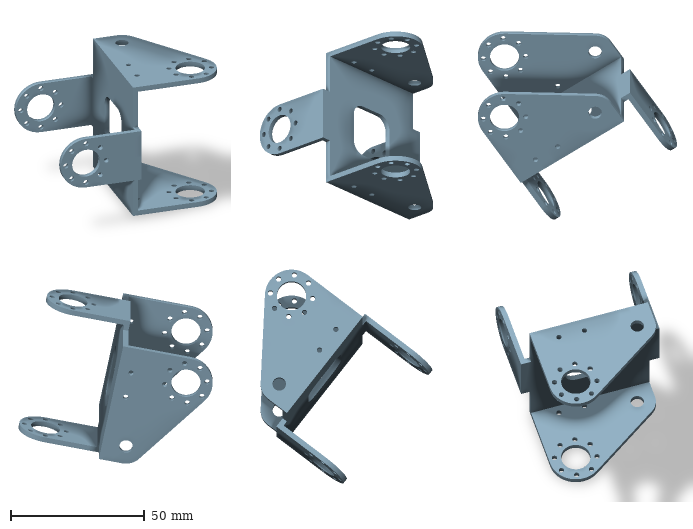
import cadquery as cq
import math

overall_width = 54.45
overall_depth = 66.0
height = 53.0
sheet = 2.0
web_width = 46.55
web_front = 30.0
web_back = web_front + sheet

window_size = 20.0
window_radius = 5.0

boss_radius = 10.0
bore_diameter = 11.0
screw_diameter = 2.0
screw_circle_radius = 8.0
screw_count = 8
flange_pattern_angle = 30.0

corner_radius = 7.0
corner_y = 39.0
pivot_diameter = 5.0
edge_hole_y = 35.0
edge_hole_spacing = 10.0

half_width = web_width / 2
boss_x = half_width - boss_radius
boss_y = overall_depth - boss_radius
corner_x = corner_radius - half_width


def polar(center, radius, angle):
    """Point on a circle, with the angle in radians."""
    return (center[0] + radius * math.cos(angle), center[1] + radius * math.sin(angle))


def mounting_pattern(plane, center, length, start_angle):
    """Bore and its ring of screw holes, cut along the plane normal."""
    bore = plane.center(*center).circle(bore_diameter / 2).extrude(length)
    screws = (
        plane.center(*center)
        .polarArray(screw_circle_radius, start_angle, 360, screw_count)
        .circle(screw_diameter / 2)
        .extrude(length)
    )
    return bore.union(screws)


def make_web():
    web = cq.Workplane("XY").box(web_width, sheet, height).translate((0, web_front + sheet / 2, 0))
    window = (
        cq.Workplane("XY").box(window_size, 2 * sheet, window_size)
        .edges("|Y").fillet(window_radius)
        .translate((0, web_front + sheet / 2, 0))
    )
    return web.cut(window)


def make_flanges():
    """Top and bottom flanges, bounded by two arcs and their common tangent."""
    boss = (boss_x, boss_y)
    corner = (corner_x, corner_y)
    run = boss_x - corner_x
    rise = boss_y - corner_y
    center_line_angle = math.atan2(rise, run)
    taper_angle = math.asin((boss_radius - corner_radius) / math.hypot(run, rise))
    normal_angle = center_line_angle + taper_angle + math.pi / 2

    base = cq.Workplane("XY").workplane(offset=-height / 2)
    body = (
        base.moveTo(-half_width, web_front)
        .lineTo(half_width, web_front)
        .lineTo(half_width, boss_y)
        .threePointArc(polar(boss, boss_radius, normal_angle / 2), polar(boss, boss_radius, normal_angle))
        .lineTo(*polar(corner, corner_radius, normal_angle))
        .threePointArc(
            polar(corner, corner_radius, (normal_angle + math.pi) / 2),
            (-half_width, corner_y),
        )
        .close()
        .extrude(height)
    )
    pivot = base.center(*corner).circle(pivot_diameter / 2).extrude(height)
    edge_holes = (
        base.pushPoints([(boss_x, edge_hole_y), (boss_x - edge_hole_spacing, edge_hole_y)])
        .circle(screw_diameter / 2)
        .extrude(height)
    )
    pattern = mounting_pattern(base, boss, height, flange_pattern_angle)
    gap = cq.Workplane("XY").box(
        overall_width, 2 * overall_depth, height - 2 * sheet
    )
    return body.cut(pivot).cut(edge_holes).cut(pattern).cut(gap)


def make_ears():
    """Both side ears with the tabs that join them to the web."""
    base = cq.Workplane("YZ").workplane(offset=-overall_width / 2)
    body = (
        base.moveTo(web_back, -boss_radius)
        .lineTo(boss_radius, -boss_radius)
        .threePointArc((0, 0), (boss_radius, boss_radius))
        .lineTo(web_back, boss_radius)
        .close()
        .extrude(overall_width)
    )
    pattern = mounting_pattern(base, (boss_radius, 0), overall_width, 0)
    front_gap = cq.Workplane("XY").box(
        overall_width - 2 * sheet, 2 * web_front, height
    )
    web_gap = cq.Workplane("XY").box(web_width, 2 * overall_depth, height)
    return body.cut(pattern).cut(front_gap).cut(web_gap)


result = make_web().union(make_flanges()).union(make_ears())